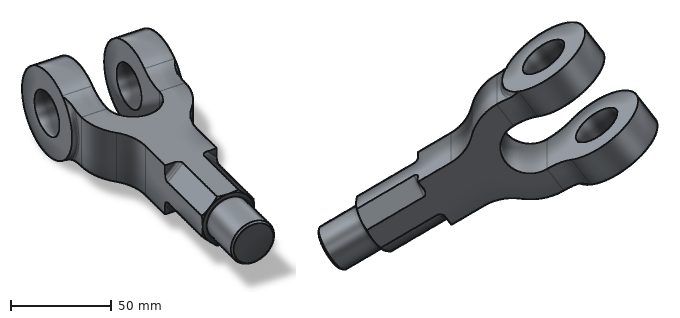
import cadquery as cq
import math

length = 175.0
eye_diameter = 50.0
bore_diameter = 25.0
eye_width = 65.0
fork_width = 60.0
shank_size = 30.0
fork_center_x = 30.0
blend_radius = 25.0
flat_start_x = 87.5
flat_fillet = 2.5
shank_end_x = 125.0
corner_chamfer_angle = 30.0
pin_diameter = 25.0
pin_chamfer = 1.0

eye_radius = eye_diameter / 2
fork_radius = fork_width / 2
half_shank = shank_size / 2
boss_fillet = (eye_width - fork_width) / 2
tip_x = length - eye_radius


def make_side_outline():
    """Eye disc with tangent necks running into the shank, swept across Y."""
    neck_radius = (fork_center_x**2 + half_shank**2 - eye_radius**2) / (2 * (eye_radius - half_shank))
    neck_center_z = half_shank + neck_radius
    to_eye = eye_radius / (eye_radius + neck_radius)
    start_x = fork_center_x * to_eye
    start_z = neck_center_z * to_eye
    half_angle = math.atan2(fork_center_x, neck_center_z) / 2
    mid_x = fork_center_x - neck_radius * math.sin(half_angle)
    mid_z = neck_center_z - neck_radius * math.cos(half_angle)
    return (
        cq.Workplane("XZ")
        .moveTo(start_x, start_z)
        .threePointArc((mid_x, mid_z), (fork_center_x, half_shank))
        .lineTo(shank_end_x, half_shank)
        .lineTo(shank_end_x, -half_shank)
        .lineTo(fork_center_x, -half_shank)
        .threePointArc((mid_x, -mid_z), (start_x, -start_z))
        .threePointArc((-eye_radius, 0), (start_x, start_z))
        .close()
        .extrude(eye_width / 2, both=True)
    )


def make_plan_outline():
    """Fork arms, rounded shoulders and shank, swept through Z."""
    blend_center_y = half_shank + blend_radius
    center_distance = fork_radius + blend_radius
    blend_span_x = math.sqrt(center_distance**2 - blend_center_y**2)
    blend_end_x = fork_center_x + blend_span_x
    to_shoulder = fork_radius / center_distance
    joint_x = fork_center_x + blend_span_x * to_shoulder
    joint_y = blend_center_y * to_shoulder
    arc_angle = math.atan2(blend_span_x, blend_center_y)
    shoulder_x = fork_center_x + fork_radius * math.sin(arc_angle / 2)
    shoulder_y = fork_radius * math.cos(arc_angle / 2)
    blend_x = blend_end_x - blend_radius * math.sin(arc_angle / 2)
    blend_y = blend_center_y - blend_radius * math.cos(arc_angle / 2)
    return (
        cq.Workplane("XY")
        .moveTo(-eye_radius, fork_radius)
        .lineTo(fork_center_x, fork_radius)
        .threePointArc((shoulder_x, shoulder_y), (joint_x, joint_y))
        .threePointArc((blend_x, blend_y), (blend_end_x, half_shank))
        .lineTo(shank_end_x, half_shank)
        .lineTo(shank_end_x, -half_shank)
        .lineTo(blend_end_x, -half_shank)
        .threePointArc((blend_x, -blend_y), (joint_x, -joint_y))
        .threePointArc((shoulder_x, -shoulder_y), (fork_center_x, -fork_radius))
        .lineTo(-eye_radius, -fork_radius)
        .lineTo(-eye_radius, -half_shank)
        .lineTo(fork_center_x, -half_shank)
        .threePointArc((fork_center_x + half_shank, 0), (fork_center_x, half_shank))
        .lineTo(-eye_radius, half_shank)
        .close()
        .extrude(eye_radius, both=True)
    )


def make_boss():
    """Raised face of the +Y eye with a concave fillet around its foot."""
    top_y = eye_width / 2
    diagonal = boss_fillet * (1 - math.sqrt(0.5))
    return (
        cq.Workplane("XY")
        .moveTo(0, half_shank)
        .lineTo(eye_radius, half_shank)
        .lineTo(eye_radius, fork_radius)
        .lineTo(eye_radius + boss_fillet, fork_radius)
        .threePointArc(
            (eye_radius + diagonal, fork_radius + diagonal),
            (eye_radius, top_y),
        )
        .lineTo(0, top_y)
        .close()
        .revolve(360, (0, 0, 0), (0, 1, 0))
    )


def make_flat_cutter():
    """Block above the shank, at octagon height, with a rounded inner end."""
    flat_length = shank_end_x - flat_start_x
    return (
        cq.Workplane("XY")
        .box(flat_length, shank_size, half_shank, centered=(False, True, False))
        .edges("<X and <Z")
        .fillet(flat_fillet)
        .translate((flat_start_x, 0, half_shank))
    )


def make_end_envelope():
    """Round envelope whose conical end trims the octagon corners."""
    outer_radius = shank_size
    cone_length = (outer_radius - half_shank) * math.tan(math.radians(corner_chamfer_angle))
    return (
        cq.Workplane("XY")
        .moveTo(flat_start_x, 0)
        .lineTo(flat_start_x, outer_radius)
        .lineTo(shank_end_x - cone_length, outer_radius)
        .lineTo(shank_end_x, half_shank)
        .lineTo(shank_end_x, 0)
        .close()
        .revolve(360, (0, 0, 0), (1, 0, 0))
    )


side_outline = make_side_outline()
boss = make_boss()
body = make_plan_outline().union(boss).union(boss.mirror("XZ")).intersect(side_outline)

flat_cutter = make_flat_cutter()
for angle in (45, 135, 225, 315):
    body = body.cut(flat_cutter.rotate((0, 0, 0), (1, 0, 0), angle))

end_block = cq.Workplane("XY").box(
    shank_end_x - flat_start_x, 2 * shank_size, 2 * shank_size, centered=(False, True, True)
).translate((flat_start_x, 0, 0))
body = body.cut(end_block.cut(make_end_envelope()))

pin = (
    cq.Workplane("YZ", origin=(shank_end_x, 0, 0))
    .circle(pin_diameter / 2)
    .extrude(tip_x - shank_end_x)
    .faces(">X")
    .chamfer(pin_chamfer)
)

bore = cq.Workplane("XZ").circle(bore_diameter / 2).extrude(eye_width, both=True)

result = body.union(pin).cut(bore)